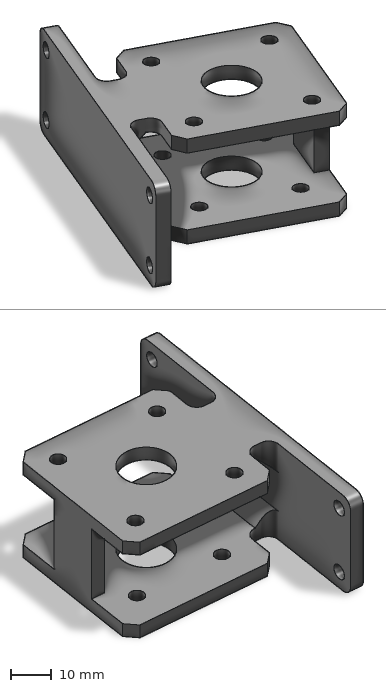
import cadquery as cq

width = 84.0
depth = 58.0
height = 30.0
thickness = 4.0
corner = 3.0

flange_hole_span_x = 74.9
flange_hole_span_z = 20.0
screw_diameter = 4.2

plate_size = 45.9
plate_center_y = depth - plate_size / 2
neck_width = 20.2
neck_length = depth - plate_size - thickness
gusset_size = 4.9
bore_diameter = 14.95
upper_hole_pitch = 30.9
lower_hole_pitch = 26.55

post_width = 14.95


def make_flange():
    """Upright rounded plate with four screw holes."""
    return (
        cq.Workplane("XZ")
        .rect(width, height)
        .extrude(-thickness)
        .edges("|Y")
        .fillet(corner)
        .faces("<Y")
        .workplane(centerOption="CenterOfBoundBox")
        .rect(flange_hole_span_x, flange_hole_span_z, forConstruction=True)
        .vertices()
        .hole(screw_diameter)
    )


def make_plate(hole_pitch, bottom_z):
    """Chamfered square plate with a central bore and four screw holes."""
    return (
        cq.Workplane("XY", origin=(0, plate_center_y, bottom_z))
        .rect(plate_size, plate_size)
        .extrude(thickness)
        .edges("|Z")
        .chamfer(corner)
        .faces(">Z")
        .workplane(centerOption="CenterOfBoundBox")
        .hole(bore_diameter)
        .faces(">Z")
        .workplane(centerOption="CenterOfBoundBox")
        .rect(hole_pitch, hole_pitch, forConstruction=True)
        .vertices()
        .hole(screw_diameter)
    )


def make_necks():
    """Both necks, flared by fillets and thickened by gussets at the flange."""
    half = neck_width / 2
    start = thickness
    end = thickness + neck_length
    flared = (
        cq.Workplane("XY", origin=(0, 0, -height / 2))
        .moveTo(-half - corner, start)
        .radiusArc((-half, start + corner), -corner)
        .lineTo(-half, end - corner)
        .radiusArc((-half - corner, end), -corner)
        .lineTo(half + corner, end)
        .radiusArc((half, end - corner), -corner)
        .lineTo(half, start + corner)
        .radiusArc((half + corner, start), -corner)
        .close()
        .extrude(height)
    )
    inner = height / 2 - thickness
    opening = (
        cq.Workplane("YZ")
        .polyline([
            (start, inner - gusset_size),
            (start + gusset_size, inner),
            (end, inner),
            (end, -inner),
            (start + gusset_size, -inner),
            (start, gusset_size - inner),
        ])
        .close()
        .extrude(width / 2, both=True)
    )
    return flared.cut(opening)


def make_post():
    """Rectangular post flush with the back edges of the plates."""
    return cq.Workplane("XY").box(post_width, thickness, height - 2 * thickness).translate(
        (0, depth - thickness / 2, 0)
    )


upper_plate = make_plate(upper_hole_pitch, height / 2 - thickness)
lower_plate = make_plate(lower_hole_pitch, -height / 2)

result = (
    make_flange()
    .union(make_necks())
    .union(upper_plate)
    .union(lower_plate)
    .union(make_post())
    .clean()
)